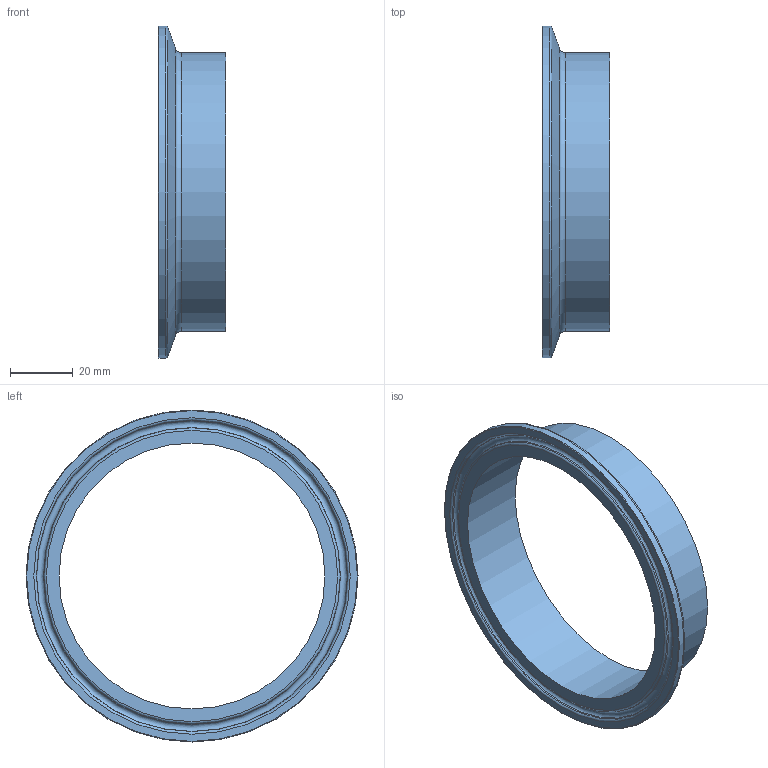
import cadquery as cq
import math

length = 21.5
flange_diameter = 106.0
tube_outer_diameter = 88.9
tube_wall = 2.0
flange_edge_thickness = 2.85
clamp_angle = 20.0
rim_fillet = 0.8
face_fillet = 0.2
neck_fillet = 2.0

groove_diameter = 97.0
groove_depth = 1.6
groove_bottom_radius = 1.2
groove_lip_radius = 0.8
groove_wall_angle = 67.0

flange_radius = flange_diameter / 2
tube_radius = tube_outer_diameter / 2
bore_radius = tube_radius - tube_wall
groove_center_radius = groove_diameter / 2


def point_on_arc(center, radius, angle):
    """Point at an angle in degrees, counted from +X towards the radial direction."""
    turn = math.radians(angle)
    return (center[0] + radius * math.cos(turn), center[1] + radius * math.sin(turn))


def make_ring():
    """Tube with a clamp flange tapering into it, with rounded rim and neck."""
    taper_slope = math.tan(math.radians(clamp_angle))
    neck_x = flange_edge_thickness + (flange_radius - tube_radius) * taper_slope
    half_turn = math.radians(90 - clamp_angle) / 2

    rim_center = (
        flange_edge_thickness - rim_fillet * math.tan(half_turn),
        flange_radius - rim_fillet,
    )
    neck_center = (
        neck_x + neck_fillet * math.tan(half_turn),
        tube_radius + neck_fillet,
    )
    face_center = (face_fillet, flange_radius - face_fillet)
    face_middle_angle = (90 + 180) / 2
    rim_middle_angle = (90 + clamp_angle) / 2

    profile = (
        cq.Workplane("XY")
        .moveTo(0, bore_radius)
        .lineTo(0, face_center[1])
        .threePointArc(
            point_on_arc(face_center, face_fillet, face_middle_angle),
            (face_center[0], flange_radius),
        )
        .lineTo(rim_center[0], flange_radius)
        .threePointArc(
            point_on_arc(rim_center, rim_fillet, rim_middle_angle),
            point_on_arc(rim_center, rim_fillet, clamp_angle),
        )
        .lineTo(*point_on_arc(neck_center, neck_fillet, clamp_angle + 180))
        .threePointArc(
            point_on_arc(neck_center, neck_fillet, rim_middle_angle + 180),
            (neck_center[0], tube_radius),
        )
        .lineTo(length, tube_radius)
        .lineTo(length, bore_radius)
        .close()
    )
    return profile.revolve(360, (0, 0, 0), (1, 0, 0))


def make_groove():
    """Ring of material removed from the sealing face."""
    wall_turn = math.radians(groove_wall_angle)
    blend_radius = groove_lip_radius + groove_bottom_radius
    straight_depth = groove_depth - blend_radius * (1 - math.cos(wall_turn))
    half_width = blend_radius * math.sin(wall_turn) + straight_depth / math.tan(wall_turn)
    bottom_center = (groove_depth - groove_bottom_radius, groove_center_radius)
    outer_lip_center = (groove_lip_radius, groove_center_radius + half_width)
    inner_lip_center = (groove_lip_radius, groove_center_radius - half_width)
    half_angle = groove_wall_angle / 2

    profile = (
        cq.Workplane("XY")
        .moveTo(0, inner_lip_center[1])
        .threePointArc(
            point_on_arc(inner_lip_center, groove_lip_radius, 180 - half_angle),
            point_on_arc(inner_lip_center, groove_lip_radius, 180 - groove_wall_angle),
        )
        .lineTo(*point_on_arc(bottom_center, groove_bottom_radius, -groove_wall_angle))
        .threePointArc(
            point_on_arc(bottom_center, groove_bottom_radius, 0),
            point_on_arc(bottom_center, groove_bottom_radius, groove_wall_angle),
        )
        .lineTo(*point_on_arc(outer_lip_center, groove_lip_radius, 180 + groove_wall_angle))
        .threePointArc(
            point_on_arc(outer_lip_center, groove_lip_radius, 180 + half_angle),
            (0, outer_lip_center[1]),
        )
        .close()
    )
    return profile.revolve(360, (0, 0, 0), (1, 0, 0))


result = make_ring().cut(make_groove())